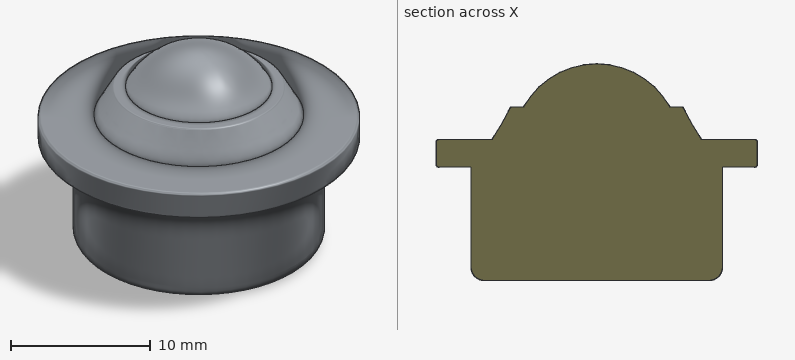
import cadquery as cq
import math

flange_diameter = 23.0
flange_thickness = 2.0
flange_edge_radius = 0.23
body_diameter = 18.0
body_height = 8.1
body_edge_radius = 1.0
collar_base_diameter = 15.0
collar_height = 2.32
collar_slope = math.radians(30)
collar_edge_radius = 0.18
ball_diameter = 12.0
total_height = 15.5

flange_top = body_height + flange_thickness
collar_top = flange_top + collar_height
collar_base_radius = collar_base_diameter / 2
collar_top_radius = collar_base_radius - collar_height * math.tan(collar_slope)
ball_radius = ball_diameter / 2
ball_center = total_height - ball_radius


def make_body():
    """Cylindrical cup with a rounded bottom edge."""
    body = cq.Workplane("XY").circle(body_diameter / 2).extrude(body_height)
    return body.faces("<Z").edges().fillet(body_edge_radius)


def make_flange():
    """Round flange with both rims lightly rounded."""
    flange = cq.Workplane("XY").workplane(offset=body_height)
    flange = flange.circle(flange_diameter / 2).extrude(flange_thickness)
    return flange.faces("<Z or >Z").edges().fillet(flange_edge_radius)


def make_collar():
    """Conical collar that retains the ball, with a rounded top edge."""
    collar = (
        cq.Workplane("XZ")
        .moveTo(0, flange_top)
        .lineTo(collar_base_radius, flange_top)
        .lineTo(collar_top_radius, collar_top)
        .lineTo(0, collar_top)
        .close()
        .revolve(360, (0, 0, 0), (0, 1, 0))
    )
    return collar.faces(">Z").edges().fillet(collar_edge_radius)


def make_ball():
    """Ball whose upper cap stands out of the collar."""
    return cq.Workplane("XY").sphere(ball_radius).translate((0, 0, ball_center))


result = make_body().union(make_flange()).union(make_collar()).union(make_ball())